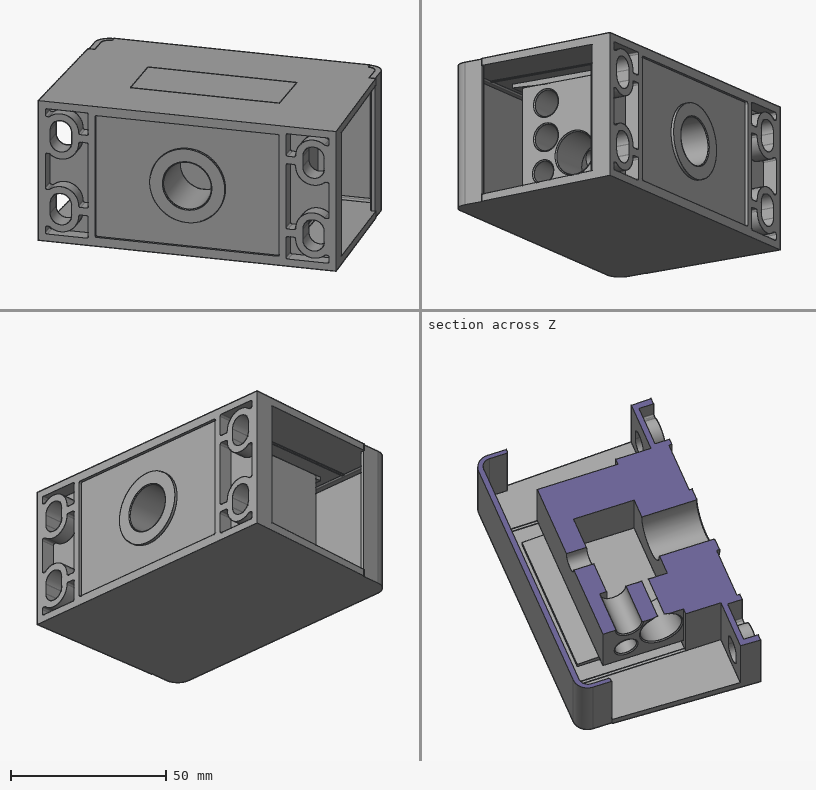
import cadquery as cq

width = 100.0
depth = 62.0
height = 48.0
half_height = height / 2

cap_width = 96.0
cap_start = 50.5
cap_radius = 5.0
wall = 2.0
cap_side_wall = 1.6
lip_chamfer = 0.5
body_back_width = 96.6

flange = 7.0
tunnel_half_front = 21.2
tunnel_half_back = 21.7
tunnel_back = depth - wall

centre_width = 64.0
centre_back = 19.1
block_width = 60.0
block_height = 36.0
block_back = 46.8

chamber_width = 30.0
chamber_height = 32.0
chamber_back = 39.8
bore_diameter = 16.0
bore_chamfer = 0.3
pilot_diameter = 6.6
cable_hole_chamfer = 0.4
cable_holes = [
    (37.7, 11.5, 8.8),
    (37.7, 0.0, 8.8),
    (38.8, -11.5, 7.4),
    (26.7, -7.0, 14.2),
]

ledge_front = 57.7
ledge_height = 0.6
ledge_radius = 0.5
wedge_width = 50.4
wedge_back = 53.8
wedge_half_gap_front = 17.3
wedge_half_gap_back = 20.4
rib_width = 1.0
rib_half_gap_front = 21.1
rib_half_gap_back = 21.4

panel_width = 61.8
panel_height = 41.8
panel_depth = 1.0
ring_diameter = 25.2
slot_x = 42.4
slot_z = 12.5
slot_width = 7.2
slot_height = 10.7
slot_rim = 2.4
pocket_inner = 33.2
pocket_outer = 47.6
pocket_height = 43.0
pocket_depth = 5.0
inner_web = 2.6
outer_web = 12.6
corner_radius = 0.6

mark_depth = 0.1
label_width = 50.0
label_length = 19.8
label_front = 20.0

SIDES = (-1, 1)


def box(x_min, x_max, y_min, y_max, z_min, z_max):
    return cq.Workplane("XY").box(
        x_max - x_min, y_max - y_min, z_max - z_min, centered=False
    ).translate((x_min, y_min, z_min))


def centred_box(size_x, size_z, y_min, y_max):
    return box(-size_x / 2, size_x / 2, y_min, y_max, -size_z / 2, size_z / 2)


def along_x(points, size_x):
    """Extrude a (y, z) outline symmetrically along X."""
    return cq.Workplane("YZ").polyline(points).close().extrude(size_x / 2, both=True)


def from_front(diameter, y_min, y_max):
    """Cylinder along Y on the centre axis."""
    plane = cq.Workplane("XZ", origin=(0, y_min, 0))
    return plane.circle(diameter / 2).extrude(y_min - y_max)


def upright_slot(x, z, size_x, size_z, y_max):
    """Round-ended slot standing along Z, running from the mounting face to y_max."""
    return cq.Workplane("XZ").center(x, z).slot2D(size_z, size_x, 90).extrude(-y_max)


def rounded_cap(size_x, y_max, radius, size_z):
    return centred_box(size_x, size_z, cap_start, y_max).edges("|Z and >Y").fillet(radius)


def housing():
    body = (
        cq.Workplane("XY", origin=(0, 0, -half_height))
        .polyline([
            (-width / 2, 0),
            (width / 2, 0),
            (body_back_width / 2, cap_start),
            (-body_back_width / 2, cap_start),
        ])
        .close()
        .extrude(height)
    )
    return body.union(rounded_cap(cap_width, depth, cap_radius, height))


def tunnel():
    outline = [
        (flange, -tunnel_half_front),
        (tunnel_back, -tunnel_half_back),
        (tunnel_back, tunnel_half_back),
        (flange, tunnel_half_front),
    ]
    opening = centred_box(width, height, flange, cap_start)
    inside_width = cap_width - 2 * cap_side_wall
    cap_inside = rounded_cap(inside_width, tunnel_back, cap_radius - wall, height)
    lip = (
        cq.Workplane("XY", origin=(0, cap_start, 0))
        .polyline([
            (-inside_width / 2 - lip_chamfer, 0),
            (inside_width / 2 + lip_chamfer, 0),
            (inside_width / 2, lip_chamfer),
            (-inside_width / 2, lip_chamfer),
        ])
        .close()
        .extrude(half_height, both=True)
    )
    return along_x(outline, width).intersect(opening.union(cap_inside).union(lip))


def tapered_pad(size_x, y_max, half_gap_front, half_gap_back, side):
    """Pad on the floor or roof that grows thicker towards the solid centre."""
    seat = side * (half_height - wall / 2)
    return along_x([
        (flange, side * half_gap_front),
        (y_max, side * half_gap_back),
        (y_max, seat),
        (flange, seat),
    ], size_x)


def tunnel_details(side):
    """Ledge, ribs and wedge on the floor (side = -1) or the roof (side = 1)."""
    seat = half_height - wall / 2
    ledge_width = cap_width - 2 * cap_side_wall
    ledge_half_gap = tunnel_half_back - ledge_height
    ledge = box(
        -ledge_width / 2, ledge_width / 2, ledge_front, tunnel_back, ledge_half_gap, seat
    ).edges("|X and <Y and <Z").fillet(ledge_radius)
    if side < 0:
        ledge = ledge.mirror("XY")
    wedge = tapered_pad(wedge_width, wedge_back, wedge_half_gap_front, wedge_half_gap_back, side)
    details = ledge.union(wedge)
    for x_side in SIDES:
        rib = tapered_pad(rib_width, ledge_front + ledge_height, rib_half_gap_front, rib_half_gap_back, side)
        details = details.union(rib.translate((x_side * (centre_width - rib_width) / 2, 0, 0)))
    return details


def cable_hole(y, z, diameter):
    """Chamfered hole from the -X face of the block to the chamber."""
    face = cq.Workplane("YZ", origin=(-block_width / 2, y, z))
    hole = face.circle(diameter / 2).extrude((block_width - chamber_width) / 2)
    mouth = face.circle(diameter / 2 + cable_hole_chamfer).extrude(
        cable_hole_chamfer, taper=45
    )
    return hole.union(mouth)


def centre_bore():
    """Stepped bore from the mounting face through the chamber and out of its back wall."""
    mouth = cq.Workplane("XZ").circle(bore_diameter / 2 + bore_chamfer).extrude(-bore_chamfer, taper=45)
    bore = from_front(bore_diameter, 0, centre_back)
    return bore.union(mouth).union(from_front(pilot_diameter, centre_back, block_back))


def panel():
    """Shallow rectangular recess that leaves a flush ring around the bore."""
    recess = centred_box(panel_width, panel_height, 0, panel_depth).edges("|Y").fillet(corner_radius)
    return recess.cut(from_front(ring_diameter, 0, panel_depth))


def end_pockets(side):
    """Pockets around the two mounting slots at one end of the mounting face."""
    inner = side * pocket_inner
    outer = side * pocket_outer
    pockets = box(
        min(inner, outer), max(inner, outer), 0, pocket_depth, -pocket_height / 2, pocket_height / 2
    )
    for z in (-slot_z, slot_z):
        rim = upright_slot(
            side * slot_x, z, slot_width + 2 * slot_rim, slot_height + 2 * slot_rim, pocket_depth
        )
        pockets = pockets.cut(rim)
        for edge_x, web in ((inner, inner_web), (outer, outer_web)):
            x_min, x_max = sorted((edge_x, side * slot_x))
            pockets = pockets.cut(box(x_min, x_max, 0, pocket_depth, z - web / 2, z + web / 2))
    return pockets.edges("|Y").fillet(corner_radius)


def corner_marks():
    """Shallow steps that follow the outer wall around the back corners of the top face."""
    top = half_height - mark_depth
    band = rounded_cap(cap_width, depth, cap_radius, height).cut(
        rounded_cap(cap_width - 2 * wall, tunnel_back, cap_radius - wall, height)
    )
    straight = cap_width / 2 - cap_radius
    marks = box(straight, width / 2, cap_start, depth, top, half_height)
    marks = marks.union(marks.mirror("YZ"))
    return band.intersect(marks)


result = housing().cut(tunnel())
result = result.union(centred_box(centre_width, height - wall, flange, centre_back))
for side in SIDES:
    result = result.union(tunnel_details(side))
result = result.union(centred_box(block_width, block_height, flange, block_back))

result = result.cut(centred_box(chamber_width, chamber_height, centre_back, chamber_back))
for y, z, diameter in cable_holes:
    result = result.cut(cable_hole(y, z, diameter))
result = result.cut(panel()).cut(centre_bore())

for side in SIDES:
    result = result.cut(end_pockets(side))
    for z in (-slot_z, slot_z):
        result = result.cut(upright_slot(side * slot_x, z, slot_width, slot_height, flange))

label_mark = box(
    -label_width / 2,
    label_width / 2,
    label_front,
    label_front + label_length,
    half_height - mark_depth,
    half_height,
)
result = result.cut(label_mark).cut(corner_marks())